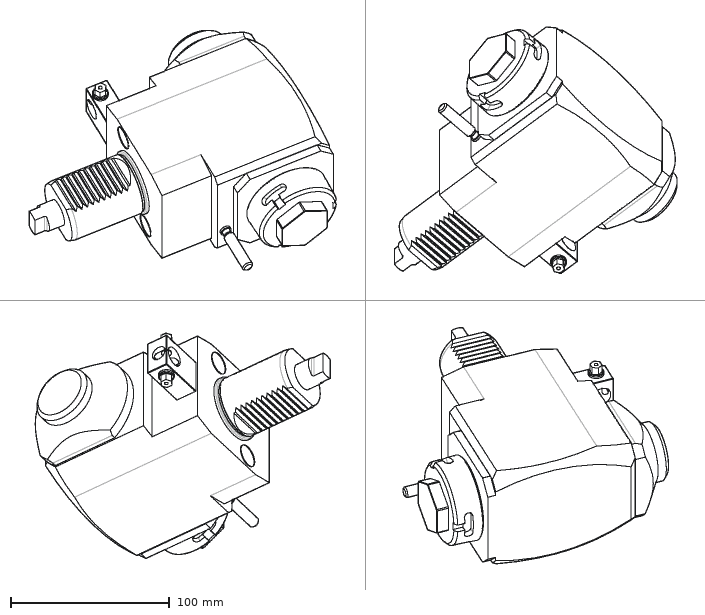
import cadquery as cq
import math


HEIGHT = 75.0
HALF_HEIGHT = HEIGHT / 2
BACK_Y = 114.0
SPINDLE_Y = 80.2
STEP_Y = 35.0
FOOT_HALF = 39.2
HEAD_LEFT = -48.7
HEAD_RIGHT = 47.6
TAPER_START = 24.2
TAPER = math.tan(math.radians(15))
HEAD_CHAMFER = 3.9
CORNER_CHAMFER = 4.5
CROWN_X = 9.9
CROWN_RADIUS = 122.8
PLUG_RADIUS = 7.5
PLUG_DEPTH = 0.5
PLUG_X = 15.8
PLUG_Z = 27.5

CAP_RADIUS = 37.5
CAP_RIM_X = -55.5
CAP_SLOPE_X = -51.5
CAP_HALF_HEIGHT = 29.8
CAP_BACK_Y = 110.1
BOSS_RADIUS = 19.3
BOSS_START_X = -68.3
BOSS_END_X = -76.5
BOSS_CHAMFER = 2.6

PLATE_END_X = 53.0
PLATE_CHAMFER = 9.0
COLLAR_RADIUS = 26.6
NUT_START_X = 54.0
NUT_END_X = 72.5
NUT_RADIUS = 27.2
NUT_BASE_RADIUS = 27.7
NUT_CHAMFER = 1.9
SLOT_X = 63.0
SLOT_WIDTH = 5.5
SLOT_SPAN = 40.0
SLOT_FLOOR_RADIUS = 23.8
KEYWAY_WIDTH = 5.4
SLOT_ANGLES = (30, 150, 270)
HALF_HEX_STEP = 30
HEX_ACROSS_FLATS = 32.0
HEX_END_X = 80.5
HEX_EDGE_CHAMFER = 0.5
HEX_END_CHAMFER = 0.4

PIN_Y = 40.4
PIN_Z = -17.5
PIN_RADIUS = 3.5
PIN_START_X = 53.4
PIN_END_X = 80.4
PIN_CHAMFER = 1.0
PIN_COLLAR_X = 49.0
PIN_NECK_END_X = 51.7
PIN_NECK_RADIUS = 2.6
PIN_GROOVE_RADIUS = 2.2

SHANK_RADIUS = 20.0
FLANGE_RADIUS = 21.4
FLANGE_END_Y = -2.2
FLANGE_ROUND = 0.7
NECK_RADIUS = 19.3
NECK_END_Y = -3.7
SHANK_END_Y = -53.4
SHANK_CHAMFER_LENGTH = 3.3
SHANK_CHAMFER_DEPTH = 0.7
FLAT_HEIGHT = 16.2
TOOTH_DEPTH = 1.7
TOOTH_COUNT = 10
FIRST_VALLEY_Y = -11.7
LAST_VALLEY_Y = -47.8
TOOTH_PITCH = (FIRST_VALLEY_Y - LAST_VALLEY_Y) / (TOOTH_COUNT - 1)
RUNOUT_Y = -4.8
DRIVE_RADIUS = 8.7
DRIVE_END_Y = -64.0
TANG_END_Y = -72.0
TANG_WIDTH = 8.0
TANG_FILLET = 1.1

BLOCK_LEFT = -71.0
BLOCK_Y = (1.3, 16.2)
BLOCK_HALF_HEIGHT = 12.3
BLOCK_CHAMFER = 0.4
NOZZLE_X = -62.7
NOZZLE_Y = 7.5
CROSS_HOLE_RADIUS = 6.5
SIDE_HOLE_RADIUS = 4.8
SIDE_HOLE_END_X = -51.2
FEED_RADIUS = 1.5
STEM_RADIUS = 3.2
STEM_TIP_Z = 5.8
WASHER_RADIUS = 5.0
WASHER_HEIGHT = 1.9
WASHER_CHAMFER = 0.5
NOZZLE_HEX = 6.7
NOZZLE_TOP_Z = 19.5
NOZZLE_BORE_RADIUS = 1.1
NOZZLE_BORE_DEPTH = 2.8

CLEAR = 1.9


def rod_x(radius, start, end, y=SPINDLE_Y, z=0.0):
    """Cylinder along X between two X positions."""
    return cq.Workplane("YZ", origin=(start, y, z)).circle(radius).extrude(end - start)


def rod_y(radius, start, end, x=0.0, z=0.0):
    """Cylinder along Y between two Y positions, start above end."""
    return cq.Workplane("XZ", origin=(x, start, z)).circle(radius).extrude(start - end)


def rod_z(radius, start, end, x=NOZZLE_X, y=NOZZLE_Y):
    """Cylinder along Z between two Z positions."""
    return cq.Workplane("XY", origin=(x, y, start)).circle(radius).extrude(end - start)


def slab(x0, x1, y0, y1, half_height):
    """Block centred on Z = 0."""
    size = (x1 - x0, y1 - y0, 2 * half_height)
    return cq.Workplane("XY").box(*size).translate(((x0 + x1) / 2, (y0 + y1) / 2, 0))


def both_sides(body):
    """The body together with its mirror image below Z = 0."""
    return body.union(body.mirror("XY"))


def slope_height(x):
    """Half height of the housing at a point on its 15 degree slopes."""
    return HALF_HEIGHT - TAPER * (abs(x) - TAPER_START)


def symmetric_profile(upper, y0, y1):
    """Extrude an XZ outline, given by its upper half, along Y."""
    lower = [(x, -z) for x, z in reversed(upper)]
    return cq.Workplane("XZ", origin=(0, y1, 0)).polyline(upper + lower).close().extrude(y1 - y0)


def foot():
    edge = slope_height(FOOT_HALF)
    outline = [
        (-FOOT_HALF, edge),
        (-TAPER_START, HALF_HEIGHT),
        (TAPER_START, HALF_HEIGHT),
        (FOOT_HALF, edge),
    ]
    body = symmetric_profile(outline, 0, STEP_Y)
    for side in (-1, 1):
        recess = rod_y(PLUG_RADIUS, PLUG_DEPTH, -CLEAR, side * PLUG_X, -side * PLUG_Z)
        body = body.cut(recess)
    return body


def crown():
    """Cone whose 45 degree flank bevels the upper back edge along an arch."""
    centre_z = HALF_HEIGHT - HEAD_CHAMFER - CROWN_RADIUS
    length = BACK_Y - STEP_Y
    return (
        cq.Workplane("XY", origin=(CROWN_X, 0, centre_z))
        .moveTo(0, STEP_Y)
        .lineTo(CROWN_RADIUS + length, STEP_Y)
        .lineTo(CROWN_RADIUS, BACK_Y)
        .lineTo(0, BACK_Y)
        .close()
        .revolve(360, (0, 0, 0), (0, 1, 0))
    )


def head():
    outline = [
        (HEAD_LEFT, slope_height(HEAD_LEFT)),
        (-TAPER_START, HALF_HEIGHT),
        (HEAD_RIGHT - HEAD_CHAMFER, HALF_HEIGHT),
        (HEAD_RIGHT, HALF_HEIGHT - HEAD_CHAMFER),
    ]
    body = symmetric_profile(outline, STEP_Y, BACK_Y)
    back_left_corner = cq.selectors.NearestToPointSelector((HEAD_LEFT, BACK_Y, 0))
    body = body.edges(back_left_corner).chamfer(CORNER_CHAMFER)
    upper_cone = crown()
    return body.intersect(upper_cone).intersect(upper_cone.mirror("XY"))


def rear_cap():
    body = (
        cq.Workplane("XY", origin=(0, SPINDLE_Y, 0))
        .moveTo(HEAD_LEFT, 0)
        .lineTo(HEAD_LEFT, CAP_RADIUS)
        .lineTo(CAP_RIM_X, CAP_RADIUS)
        .lineTo(BOSS_START_X, BOSS_RADIUS)
        .lineTo(BOSS_END_X + BOSS_CHAMFER, BOSS_RADIUS)
        .lineTo(BOSS_END_X, BOSS_RADIUS - BOSS_CHAMFER)
        .lineTo(BOSS_END_X, 0)
        .close()
        .revolve(360, (0, 0, 0), (1, 0, 0))
    )
    end_height = CAP_HALF_HEIGHT - TAPER * (CAP_SLOPE_X - BOSS_END_X)
    outline = [
        (BOSS_END_X, end_height),
        (CAP_SLOPE_X, CAP_HALF_HEIGHT),
        (HEAD_LEFT, CAP_HALF_HEIGHT),
    ]
    return body.intersect(symmetric_profile(outline, SPINDLE_Y - CAP_RADIUS, CAP_BACK_Y))


def nose_plate():
    half = BACK_Y - SPINDLE_Y
    plate = slab(HEAD_RIGHT, PLATE_END_X, SPINDLE_Y - half, BACK_Y, half)
    return plate.edges("|X").chamfer(PLATE_CHAMFER)


def turn_on_spindle(body, angle):
    """Rotate a body about the spindle axis, from +Z toward -Y."""
    return body.rotate((0, SPINDLE_Y, 0), (1, SPINDLE_Y, 0), angle)


def nut_slot():
    """Wrench slot centred above the spindle axis, with a keyway out to the nut face."""
    outer = NUT_BASE_RADIUS + CLEAR
    end_angle = math.degrees(SLOT_WIDTH / 2 / NUT_RADIUS)
    half_sweep = SLOT_SPAN / 2 - end_angle
    slot_start = SLOT_X - SLOT_WIDTH / 2
    slot_end = SLOT_X + SLOT_WIDTH / 2
    ring = rod_x(outer, slot_start, slot_end).cut(rod_x(SLOT_FLOOR_RADIUS, slot_start, slot_end))
    reach = outer * math.tan(math.radians(half_sweep))
    sector = (
        cq.Workplane("YZ", origin=(slot_start, SPINDLE_Y, 0))
        .polyline([(0, 0), (-reach, outer), (reach, outer)])
        .close()
        .extrude(SLOT_WIDTH)
    )
    slot = ring.intersect(sector)
    rounded_end = rod_z(SLOT_WIDTH / 2, 0, outer, SLOT_X, SPINDLE_Y)
    for angle in (-half_sweep, half_sweep):
        slot = slot.union(turn_on_spindle(rounded_end, angle).intersect(ring))
    keyway_size = (NUT_END_X - SLOT_X + CLEAR, KEYWAY_WIDTH, outer - SLOT_FLOOR_RADIUS)
    keyway = (
        cq.Workplane("XY")
        .box(*keyway_size, centered=(False, True, False))
        .translate((SLOT_X, SPINDLE_Y, SLOT_FLOOR_RADIUS))
    )
    return slot.union(keyway)


def clamping_nut():
    body = (
        cq.Workplane("YZ", origin=(NUT_START_X, SPINDLE_Y, 0))
        .circle(NUT_BASE_RADIUS)
        .workplane(offset=NUT_END_X - NUT_START_X)
        .circle(NUT_RADIUS)
        .loft(ruled=True)
        .faces(">X")
        .chamfer(NUT_CHAMFER)
    )
    slot = nut_slot()
    for angle in SLOT_ANGLES:
        body = body.cut(turn_on_spindle(slot, angle))
    collar = rod_x(COLLAR_RADIUS, PLATE_END_X, NUT_START_X)
    hexagon = (
        cq.Workplane("YZ", origin=(NUT_END_X, SPINDLE_Y, 0))
        .polygon(6, HEX_ACROSS_FLATS / math.cos(math.radians(HALF_HEX_STEP)))
        .extrude(HEX_END_X - NUT_END_X)
        .edges("|X")
        .chamfer(HEX_EDGE_CHAMFER)
        .faces(">X")
        .chamfer(HEX_END_CHAMFER)
    )
    return body.union(collar).union(turn_on_spindle(hexagon, HALF_HEX_STEP))


def locating_pin():
    collar = rod_x(PIN_RADIUS, HEAD_RIGHT, PIN_COLLAR_X, PIN_Y, PIN_Z)
    neck = rod_x(PIN_NECK_RADIUS, PIN_COLLAR_X, PIN_NECK_END_X, PIN_Y, PIN_Z)
    groove = rod_x(PIN_GROOVE_RADIUS, PIN_NECK_END_X, PIN_START_X, PIN_Y, PIN_Z)
    pin = rod_x(PIN_RADIUS, PIN_START_X, PIN_END_X, PIN_Y, PIN_Z).faces(">X").chamfer(PIN_CHAMFER)
    return collar.union(neck).union(groove).union(pin)


def clamping_teeth():
    """Material removed above the toothed flat on the upper side of the shank."""
    top = SHANK_RADIUS + CLEAR
    end = SHANK_END_Y - CLEAR
    flat = (
        cq.Workplane("YZ", origin=(-SHANK_RADIUS, 0, 0))
        .moveTo(RUNOUT_Y + CLEAR, top)
        .lineTo(RUNOUT_Y - (SHANK_RADIUS - FLAT_HEIGHT), FLAT_HEIGHT)
        .lineTo(end, FLAT_HEIGHT)
        .lineTo(end, top)
        .close()
        .extrude(2 * SHANK_RADIUS)
    )
    for index in range(TOOTH_COUNT):
        valley_y = FIRST_VALLEY_Y - index * TOOTH_PITCH
        valley = (
            cq.Workplane("YZ", origin=(-SHANK_RADIUS, valley_y, FLAT_HEIGHT))
            .polyline([(-TOOTH_DEPTH, 0), (0, -TOOTH_DEPTH), (TOOTH_DEPTH, 0)])
            .close()
            .extrude(2 * SHANK_RADIUS)
        )
        flat = flat.union(valley)
    return flat


def shank():
    flange = rod_y(FLANGE_RADIUS, 0, FLANGE_END_Y).faces("<Y").edges().fillet(FLANGE_ROUND)
    neck = rod_y(NECK_RADIUS, FLANGE_END_Y, NECK_END_Y)
    barrel = rod_y(SHANK_RADIUS, NECK_END_Y, SHANK_END_Y)
    barrel = barrel.faces("<Y").edges().chamfer(SHANK_CHAMFER_LENGTH, SHANK_CHAMFER_DEPTH)
    return flange.union(neck).union(barrel.cut(both_sides(clamping_teeth())))


def drive_tang():
    body = rod_y(DRIVE_RADIUS, SHANK_END_Y, TANG_END_Y)
    for side in (-1, 1):
        inner = side * TANG_WIDTH / 2
        outer = side * (DRIVE_RADIUS + CLEAR)
        x0, x1 = sorted((inner, outer))
        relief = slab(x0, x1, TANG_END_Y - CLEAR, DRIVE_END_Y, DRIVE_RADIUS + CLEAR)
        root = cq.selectors.NearestToPointSelector((inner, DRIVE_END_Y, 0))
        body = body.cut(relief.edges(root).fillet(TANG_FILLET))
    return body


def nozzle():
    """Upper screw-in nozzle: stem, chamfered washer and drilled hexagon."""
    stem = rod_z(STEM_RADIUS, STEM_TIP_Z, BLOCK_HALF_HEIGHT)
    washer = rod_z(WASHER_RADIUS, BLOCK_HALF_HEIGHT, BLOCK_HALF_HEIGHT + WASHER_HEIGHT)
    washer = washer.faces(">Z").chamfer(WASHER_CHAMFER)
    hexagon = (
        cq.Workplane("XY", origin=(NOZZLE_X, NOZZLE_Y, BLOCK_HALF_HEIGHT))
        .polygon(6, NOZZLE_HEX / math.cos(math.radians(HALF_HEX_STEP)))
        .extrude(NOZZLE_TOP_Z - BLOCK_HALF_HEIGHT)
        .rotate((NOZZLE_X, NOZZLE_Y, 0), (NOZZLE_X, NOZZLE_Y, 1), HALF_HEX_STEP)
    )
    bore = rod_z(NOZZLE_BORE_RADIUS, NOZZLE_TOP_Z - NOZZLE_BORE_DEPTH, NOZZLE_TOP_Z)
    return stem.union(washer).union(hexagon).cut(bore)


def coolant_block():
    body = slab(BLOCK_LEFT, -FOOT_HALF, *BLOCK_Y, BLOCK_HALF_HEIGHT)
    body = body.edges("|X or <X").chamfer(BLOCK_CHAMFER)
    body = body.cut(rod_y(CROSS_HOLE_RADIUS, BLOCK_Y[1], BLOCK_Y[0], NOZZLE_X))
    body = body.cut(rod_x(SIDE_HOLE_RADIUS, BLOCK_LEFT, SIDE_HOLE_END_X, NOZZLE_Y))
    body = body.cut(rod_x(FEED_RADIUS, SIDE_HOLE_END_X, -FOOT_HALF, NOZZLE_Y))
    return body.union(both_sides(nozzle()))


result = foot()
for component in (
    head(),
    rear_cap(),
    nose_plate(),
    clamping_nut(),
    locating_pin(),
    shank(),
    drive_tang(),
    coolant_block(),
):
    result = result.union(component)